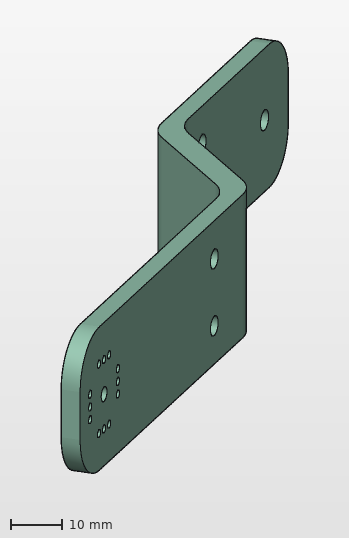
import cadquery as cq

length = 170.0
width = 30.0
thickness = 4.0
overall_depth = 28.6
corner_radius = 10.0

crank_offset = overall_depth - thickness
crank_start = 60.4
crank_run = crank_offset
crank_shift = 4.0
bend_radius = 10.0

end_inset = 12.5
end_hole_diameter = 4.2
mount_hole_diameter = 4.0
mount_hole_distances = (45.0, 100.0)
mount_hole_spacing = 14.0
hub_hole_diameter = 3.0
horn_hole_diameter = 1.6
horn_hole_pitch = 2.65
horn_hole_offset = 7.25
holes_per_horn_row = 3

back_y = length / 2
front_y = -length / 2
hub_y = front_y + end_inset


def make_strap():
    """Cranked strip with rounded bends and rounded end corners."""
    left_upper_y = back_y - crank_start
    left_lower_y = left_upper_y - crank_run
    right_upper_y = left_upper_y + crank_shift
    right_lower_y = left_lower_y + crank_shift
    bend_corners = [
        (0, left_upper_y),
        (crank_offset, left_lower_y),
        (overall_depth, right_lower_y),
        (thickness, right_upper_y),
    ]
    left_upper, left_lower, right_lower, right_upper = bend_corners
    outline = [
        (0, back_y),
        left_upper,
        left_lower,
        (crank_offset, front_y),
        (overall_depth, front_y),
        right_lower,
        right_upper,
        (thickness, back_y),
    ]
    strap = cq.Workplane("XY").polyline(outline).close().extrude(width / 2, both=True)
    for x, y in bend_corners:
        bend_edge = cq.selectors.NearestToPointSelector((x, y, 0))
        strap = strap.edges("|Z").edges(bend_edge).fillet(bend_radius)
    end_corners = strap.faces("<Y or >Y").edges("|X")
    return end_corners.fillet(corner_radius)


def drill(body, points, diameter):
    """Cut round holes along X through the strap at (y, z) points."""
    cutters = (
        cq.Workplane("YZ").pushPoints(points).circle(diameter / 2).extrude(overall_depth)
    )
    return body.cut(cutters)


def mount_hole_points():
    """Two pairs of holes, one pair on each side of the crank."""
    half = mount_hole_spacing / 2
    return [(back_y - d, side * half) for d in mount_hole_distances for side in (-1, 1)]


def horn_hole_points():
    """Four short rows of holes boxed around the hub hole."""
    points = []
    for i in range(holes_per_horn_row):
        along = (i - (holes_per_horn_row - 1) / 2) * horn_hole_pitch
        for side in (-1, 1):
            across = side * horn_hole_offset
            points.append((hub_y + along, across))
            points.append((hub_y + across, along))
    return points


result = make_strap()
result = drill(result, [(back_y - end_inset, 0)], end_hole_diameter)
result = drill(result, mount_hole_points(), mount_hole_diameter)
result = drill(result, [(hub_y, 0)], hub_hole_diameter)
result = drill(result, horn_hole_points(), horn_hole_diameter)
result = result.solids()